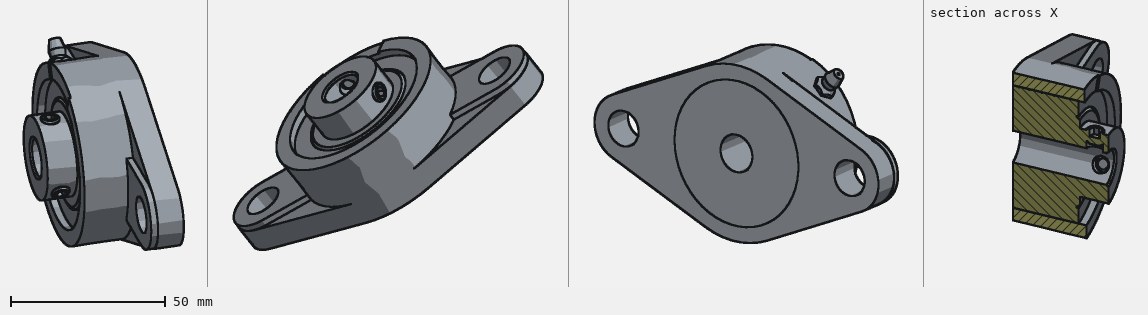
import cadquery as cq
import math


flange_length = 113.0
flange_thickness = 8.7
flange_end_radius = 11.5
bolt_spacing = flange_length - 2 * flange_end_radius
flange_hub_radius = 30.0
pad_height = 11.0
pad_radius = 11.4
bolt_hole_diameter = 12.0

boss_face_diameter = 60.0
boss_face_radius = boss_face_diameter / 2
boss_height = 25.7
bearing_radius = 24.6
label_recess_angle = 46.0
label_recess_depth = 0.7

nipple_height = 19.0
nipple_tilt = 45.0
nipple_root = 27.1
nipple_hex_flats = 6.9
nipple_head_base = 32.2
nipple_head_base_radius = 2.4
nipple_head_widest = 34.6
nipple_head_radius = 2.8
nipple_tip = 38.2
nipple_tip_radius = 1.9
nipple_hole_diameter = 0.7
nipple_hole_depth = 1.1

bearing_face_height = 22.9
race_base_radius = 18.4
race_top_radius = 17.3
race_rise = 0.5
seal_groove_depth = 0.9
collar_radius = 13.9
insert_height = 33.3
bore_radius = 6.3
bore_chamfer = 0.7

screw_height = 28.5
screw_angles = (90.0, -30.0)
screw_radius = 3.2
screw_hole_radius = 2.8
screw_protrusion = 0.6
screw_outer_end = collar_radius + screw_protrusion
screw_inner_end = 8.5
screw_tip_radius = 1.8
screw_end_chamfer = 0.7
screw_hex_flats = 3.0
screw_hex_depth = 2.8


def hexagon(flats, start, length):
    """Hexagonal prism along Z with two of its flats facing +Y and -Y."""
    corner_diameter = flats / math.cos(math.radians(30))
    return cq.Workplane("XY").workplane(offset=start).polygon(6, corner_diameter).extrude(length)


def turned_about_z(profile):
    """Solid of revolution about Z from (radius, z) points."""
    return cq.Workplane("XZ").polyline(profile).close().revolve(360, (0, 0), (0, 1))


def set_radially(shape, angle, height):
    """Turn a shape built along Z to point outwards at an angle from +X towards +Z."""
    return shape.rotate((0, 0, 0), (0, 1, 0), 90 - angle).translate((0, -height, 0))


def make_flange():
    """Hub arc joined to two end arcs by common tangents."""
    bolt_x = bolt_spacing / 2
    tangent_sin = (flange_hub_radius - flange_end_radius) / bolt_x
    tangent_cos = math.sqrt(1 - tangent_sin**2)
    hub_x = flange_hub_radius * tangent_sin
    hub_z = flange_hub_radius * tangent_cos
    end_x = bolt_x + flange_end_radius * tangent_sin
    end_z = flange_end_radius * tangent_cos
    return (
        cq.Workplane("XZ")
        .moveTo(-hub_x, hub_z)
        .threePointArc((0, flange_hub_radius), (hub_x, hub_z))
        .lineTo(end_x, end_z)
        .threePointArc((flange_length / 2, 0), (end_x, -end_z))
        .lineTo(hub_x, -hub_z)
        .threePointArc((0, -flange_hub_radius), (-hub_x, -hub_z))
        .lineTo(-end_x, -end_z)
        .threePointArc((-flange_length / 2, 0), (-end_x, end_z))
        .close()
        .extrude(flange_thickness)
    )


def make_boss():
    """Flared boss standing on the flange."""
    return (
        cq.Workplane("XY")
        .moveTo(0, 0)
        .lineTo(flange_hub_radius, 0)
        .lineTo(flange_hub_radius, -flange_thickness)
        .lineTo(boss_face_radius, -boss_height)
        .lineTo(0, -boss_height)
        .close()
        .revolve(360, (0, 0), (0, 1))
    )


def make_label_recess():
    """Shallow sector sunk into the top of the boss face."""
    half_angle = math.radians(label_recess_angle / 2)
    reach = 2 * boss_face_radius
    corner_x = reach * math.sin(half_angle)
    corner_z = reach * math.cos(half_angle)
    return (
        cq.Workplane("XZ", origin=(0, label_recess_depth - boss_height, 0))
        .polyline([(0, 0), (-corner_x, corner_z), (corner_x, corner_z)])
        .close()
        .extrude(label_recess_depth)
    )


def make_nipple():
    """Grease nipple whose hexagonal base is topped by a 45 degree cone, rooted in the boss wall."""
    head = turned_about_z([
        (0, nipple_root),
        (nipple_head_base_radius, nipple_root),
        (nipple_head_base_radius, nipple_head_base),
        (nipple_head_radius, nipple_head_widest),
        (nipple_tip_radius, nipple_tip),
        (0, nipple_tip),
    ])
    base_length = nipple_head_base - nipple_root
    base_cone = turned_about_z([
        (0, nipple_root),
        (nipple_head_base_radius + base_length, nipple_root),
        (nipple_head_base_radius, nipple_head_base),
        (0, nipple_head_base),
    ])
    base = hexagon(nipple_hex_flats, nipple_root, base_length).intersect(base_cone)
    hole = (
        cq.Workplane("XY")
        .workplane(offset=nipple_tip - nipple_hole_depth)
        .circle(nipple_hole_diameter / 2)
        .extrude(nipple_hole_depth)
    )
    return set_radially(head.union(base).cut(hole), 90 + nipple_tilt, nipple_height)


def make_pads():
    """Raised bolt pads, one round-ended bar that runs through the boss."""
    pad_length = bolt_spacing + 2 * pad_radius
    return cq.Workplane("XZ").slot2D(pad_length, 2 * pad_radius).extrude(pad_height)


def make_bolt_holes():
    bolt_x = bolt_spacing / 2
    return (
        cq.Workplane("XZ")
        .pushPoints([(-bolt_x, 0), (bolt_x, 0)])
        .circle(bolt_hole_diameter / 2)
        .extrude(pad_height)
    )


def make_housing():
    """Flange, pads, boss and grease nipple in one solid, bored through for the bearing."""
    bearing_bore = cq.Workplane("XZ").circle(bearing_radius).extrude(boss_height)
    body = make_flange().union(make_pads()).union(make_boss())
    body = body.cut(make_bolt_holes()).cut(make_label_recess())
    return body.union(make_nipple()).cut(bearing_bore)


def make_set_screw():
    """Set screw along Z with a tapered inner tip and a hexagonal socket."""
    screw = turned_about_z([
        (0, screw_inner_end),
        (screw_tip_radius, screw_inner_end),
        (screw_radius, screw_inner_end + screw_radius - screw_tip_radius),
        (screw_radius, screw_outer_end - screw_end_chamfer),
        (screw_radius - screw_end_chamfer, screw_outer_end),
        (0, screw_outer_end),
    ])
    socket = hexagon(screw_hex_flats, screw_outer_end - screw_hex_depth, screw_hex_depth)
    return screw.cut(socket.rotate((0, 0, 0), (0, 0, 1), 90))


def make_bearing():
    """Turned insert with its locking collar, bored for the shaft and fitted with set screws."""
    bearing = (
        cq.Workplane("XY")
        .moveTo(bore_radius, 0)
        .lineTo(bearing_radius, 0)
        .lineTo(bearing_radius, -bearing_face_height)
        .lineTo(race_base_radius, -bearing_face_height)
        .lineTo(race_base_radius, -bearing_face_height + seal_groove_depth)
        .lineTo(race_top_radius, -bearing_face_height - race_rise)
        .lineTo(collar_radius, -bearing_face_height - race_rise)
        .lineTo(collar_radius, -insert_height)
        .lineTo(bore_radius + bore_chamfer, -insert_height)
        .lineTo(bore_radius, -insert_height + bore_chamfer)
        .close()
        .revolve(360, (0, 0), (0, 1))
    )
    screw_hole = cq.Workplane("XY").circle(screw_hole_radius).extrude(screw_outer_end)
    for angle in screw_angles:
        bearing = bearing.cut(set_radially(screw_hole, angle, screw_height))
        bearing = bearing.union(set_radially(make_set_screw(), angle, screw_height))
    return bearing


housing = make_housing()
bearing = make_bearing()

result = cq.Compound.makeCompound([housing.val(), bearing.val()])